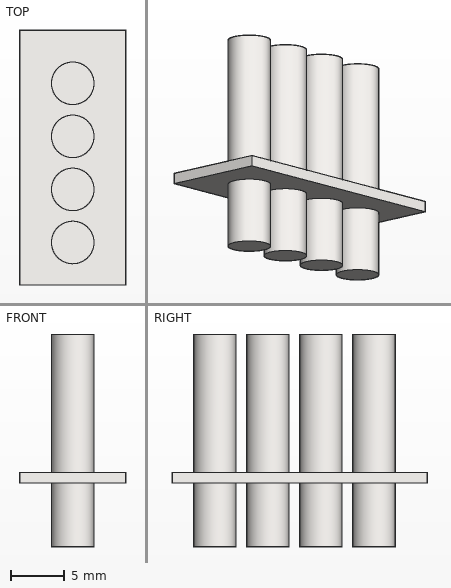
import cadquery as cq

plate_width = 10.0
plate_length = 24.0
plate_thickness = 1.0

pin_count = 4
pin_diameter = 4.0
pin_length = 20.0
pin_pitch = 5.0
pin_drop = 6.0
first_pin_edge_distance = 4.0

first_pin_y = -plate_length / 2 + first_pin_edge_distance
pin_positions = [(0, first_pin_y + index * pin_pitch) for index in range(pin_count)]


def make_plate():
    """Flat plate with one through hole for each pin."""
    blank = cq.Workplane("XY").rect(plate_width, plate_length).extrude(plate_thickness)
    holes = cq.Workplane("XY").pushPoints(pin_positions).circle(pin_diameter / 2).extrude(plate_thickness)
    return blank.cut(holes).solids()


def make_pin(x, y):
    """Plain upright cylinder filling its hole in the plate."""
    return (
        cq.Workplane("XY", origin=(x, y, -pin_drop))
        .circle(pin_diameter / 2)
        .extrude(pin_length)
    )


plate = make_plate()
pins = [make_pin(x, y) for x, y in pin_positions]

result = cq.Compound.makeCompound([plate.val(), *[pin.val() for pin in pins]])